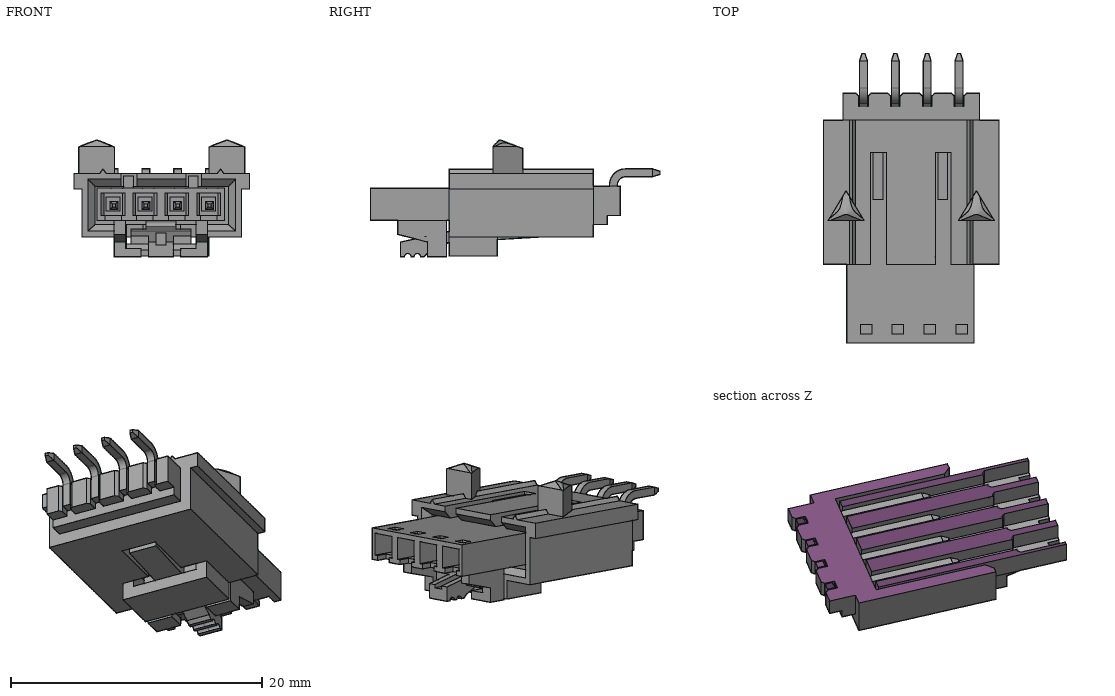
import cadquery as cq
import math


PITCH = 2.54
PIN_COUNT = 4
PIN_X = [PITCH * (i - (PIN_COUNT - 1) / 2) for i in range(PIN_COUNT)]
PIN_SIZE = 0.65
PIN_Z = 4.08
PIN_FRONT_Y = 2.3
TAIL_Z = 6.68
TAIL_END_Y = 16.78
LEG_Y = 13.07
BEND_INNER = 0.65
POINT_LENGTH = 0.6
POINT_SIZE = 0.25

BODY_LENGTH = 11.48
BODY_HALF_WIDTH = 6.36
BODY_BOTTOM = 1.57
BODY_TOP = 6.64
FLANGE_HALF_WIDTH = 6.98
FLANGE_BOTTOM = 5.4

CAVITY_HALF_WIDTH = 5.3
CAVITY_BOTTOM = 2.55
CAVITY_TOP = 5.6
CAVITY_DEPTH = 9.68
MOUTH_HALF_WIDTH = 5.88
MOUTH_BOTTOM = 2.05
MOUTH_TOP = 6.18
MOUTH_DEPTH = 0.58

RIDGE_X = 4.68
RIDGE_HALF_WIDTH = 0.25
RIDGE_HEIGHT = 0.35

KEYWAY_X = (-2.6, 2.54)
KEYWAY_WIDTH = 1.25
KEYWAY_LENGTH = 8.9

REAR_HALF_WIDTH = 5.45
REAR_TOP = 5.62
REAR_STEP_Y = 12.59
REAR_STEP_BOTTOM = 2.55
REAR_END_Y = 13.62
OVERHANG_BOTTOM = 3.27
PIN_SLOT_WIDTH = 0.74
LEAD_IN_WIDTH = 1.22
LEAD_IN_DEPTH = 0.23

ARCH_HALF_WIDTH = 3.75
ARCH_INNER_HALF_WIDTH = 2.81
ARCH_LENGTH = 3.83
ARCH_BOTTOM = 0.05
ARCH_FLOOR = 1.04
ARCH_BEVEL = 0.48
ARM_SLOT_HALF_WIDTH = 1.48
ARM_SLOT_END_Y = 8.3

POST_X = 5.19
POST_HALF_WIDTH = 1.43
POST_FRONT_Y = 3.48
POST_BACK_Y = 5.85
POST_PEAK_Y = 4.05
POST_PEAK_Z = 9.31
POST_SLOPE = 0.38
POST_FACET_Z = 8.78
POST_FACET_ANGLE = 45.0

PLUG_X = -0.07
PLUG_HALF_WIDTH = 5.07
PLUG_FRONT_Y = -6.27
PLUG_BACK_Y = 9.45
PLUG_BOTTOM = 2.9
PLUG_TOP = 5.46

POCKET_BOTTOM = 3.3
POCKET_TOP = 5.07
POCKET_MOUTH_WIDTH = 1.9
POCKET_INNER_WIDTH = 1.48
POCKET_DEPTH = 3.92
CONTACT_HOLE = 1.1
CONTACT_HOLE_Z = 4.2
WIRE_SLOT_WIDTH = 1.31
WIRE_SLOT_DEPTH = 0.92
RECESS_OFFSET = 0.28
RECESS_WIDTH = 0.92
RECESS_LENGTH = 0.78
RECESS_DEPTH = 0.18
RECESS_Y = -5.16

KEY_X = 2.58
KEY_WIDTH = 0.78
KEY_TOP = 6.43
KEY_FRONT_Y = 5.15

GUARD_OUTER = 3.7
GUARD_INNER = 2.81
FOOT_INNER = 1.57
GUARD_BACK_Y = -0.2
GUARD_FACE_Y = -1.73
GUARD_FRONT_Y = -4.1
GUARD_FACE_TOP = 1.18
GUARD_FRONT_BOTTOM = 1.77
FOOT_TOP = 0.67

ARM_HALF_WIDTH = 1.2
ARM_TOP = 2.03
ARM_BOTTOM = 1.13
ARM_RISE = 0.06
ARM_ROOT_Y = 6.57
BAR_HALF_WIDTH = 2.4
BAR_BACK_Y = 2.93
LEVER_HALF_WIDTH = 1.0
LEVER_FRONT_Y = -3.9
LEVER_FRONT_TOP = 1.18
LEVER_SLOT_WIDTH = 0.78
LEVER_SLOT_FLOOR = 0.92
LEVER_SLOT_TOP = 1.9
GRIP_RADIUS = 0.25
GRIP_PITCH = 0.75
GRIP_FIRST_Y = -2.54
GRIP_COUNT = 2
GRIP_BEVEL = 0.28


def block(x0, x1, y0, y1, z0, z1):
    """Box between opposite corners."""
    return cq.Workplane("XY").box(x1 - x0, y1 - y0, z1 - z0, centered=False).translate((x0, y0, z0))


def mirrored_block(half_width, y0, y1, z0, z1, x=0):
    """Box symmetric about the given X."""
    return block(x - half_width, x + half_width, y0, y1, z0, z1)


def side_profile(points, x0, x1):
    """Outline given as (Y, Z) points, extruded from x0 to x1."""
    return cq.Workplane("YZ").polyline(points).close().extrude(x1 - x0).translate((x0, 0, 0))


def plan_profile(points, z0, z1):
    """Outline given as (X, Y) points, extruded from z0 to z1."""
    return cq.Workplane("XY").polyline(points).close().extrude(z1 - z0).translate((0, 0, z0))


def pin_point(y, z, direction):
    """Four-sided point with its base at y, narrowing along the given Y direction."""
    return (
        cq.Workplane("XZ", origin=(0, y, z))
        .rect(PIN_SIZE, PIN_SIZE)
        .workplane(offset=-direction * POINT_LENGTH)
        .rect(POINT_SIZE, POINT_SIZE)
        .loft(combine=True)
    )


def make_pin(x):
    half = PIN_SIZE / 2
    bend_outer = BEND_INNER + PIN_SIZE
    bend_y = LEG_Y - half + bend_outer
    bend_z = TAIL_Z + half - bend_outer
    diagonal = math.sqrt(0.5)
    pin = (
        cq.Workplane("YZ")
        .moveTo(PIN_FRONT_Y + POINT_LENGTH, PIN_Z - half)
        .lineTo(LEG_Y + half, PIN_Z - half)
        .lineTo(LEG_Y + half, bend_z)
        .threePointArc(
            (bend_y - BEND_INNER * diagonal, bend_z + BEND_INNER * diagonal),
            (bend_y, bend_z + BEND_INNER),
        )
        .lineTo(TAIL_END_Y - POINT_LENGTH, TAIL_Z - half)
        .lineTo(TAIL_END_Y - POINT_LENGTH, TAIL_Z + half)
        .lineTo(bend_y, TAIL_Z + half)
        .threePointArc(
            (bend_y - bend_outer * diagonal, bend_z + bend_outer * diagonal),
            (LEG_Y - half, bend_z),
        )
        .lineTo(LEG_Y - half, PIN_Z + half)
        .lineTo(PIN_FRONT_Y + POINT_LENGTH, PIN_Z + half)
        .close()
        .extrude(half, both=True)
    )
    pin = pin.union(pin_point(TAIL_END_Y - POINT_LENGTH, TAIL_Z, 1))
    pin = pin.union(pin_point(PIN_FRONT_Y + POINT_LENGTH, PIN_Z, -1))
    return pin.translate((x, 0, 0))


def housing_shell():
    """Main body with side flanges, the stepped rear wall and the arch under the mouth."""
    shell = mirrored_block(BODY_HALF_WIDTH, 0, BODY_LENGTH, BODY_BOTTOM, BODY_TOP)
    flange = mirrored_block(FLANGE_HALF_WIDTH, 0, BODY_LENGTH, FLANGE_BOTTOM, BODY_TOP)
    step = mirrored_block(REAR_HALF_WIDTH, BODY_LENGTH, REAR_STEP_Y, REAR_STEP_BOTTOM, REAR_TOP)
    overhang = mirrored_block(REAR_HALF_WIDTH, REAR_STEP_Y, REAR_END_Y, OVERHANG_BOTTOM, REAR_TOP)
    arch = mirrored_block(ARCH_HALF_WIDTH, 0, ARCH_LENGTH, ARCH_BOTTOM, BODY_BOTTOM)
    return shell.union(flange).union(step).union(overhang).union(arch)


def ridges():
    """Triangular ridges that run along the top of the body."""
    both = cq.Workplane("XY")
    for x in (-RIDGE_X, RIDGE_X):
        ridge = (
            cq.Workplane("XZ")
            .polyline([
                (x - RIDGE_HALF_WIDTH, BODY_TOP),
                (x + RIDGE_HALF_WIDTH, BODY_TOP),
                (x, BODY_TOP + RIDGE_HEIGHT),
            ])
            .close()
            .extrude(-BODY_LENGTH)
        )
        both = both.add(ridge)
    return both.combine()


def housing_cavity():
    """Plug cavity with a flared mouth."""
    cavity = mirrored_block(CAVITY_HALF_WIDTH, 0, CAVITY_DEPTH, CAVITY_BOTTOM, CAVITY_TOP)
    mouth = (
        cq.Workplane("XZ", origin=(0, 0, (MOUTH_TOP + MOUTH_BOTTOM) / 2))
        .rect(2 * MOUTH_HALF_WIDTH, MOUTH_TOP - MOUTH_BOTTOM)
        .workplane(offset=-MOUTH_DEPTH)
        .center(0, (CAVITY_TOP + CAVITY_BOTTOM - MOUTH_TOP - MOUTH_BOTTOM) / 2)
        .rect(2 * CAVITY_HALF_WIDTH, CAVITY_TOP - CAVITY_BOTTOM)
        .loft(combine=True)
    )
    return cavity.union(mouth)


def keyways():
    """Slots through the roof for the keys of the plug."""
    both = cq.Workplane("XY")
    for x in KEYWAY_X:
        both = both.add(
            mirrored_block(KEYWAY_WIDTH / 2, 0, KEYWAY_LENGTH, CAVITY_BOTTOM, BODY_TOP + RIDGE_HEIGHT, x)
        )
    return both.combine()


def latch_opening():
    """Passage for the latch: a bevelled opening in the arch and a narrower slot behind it."""
    opening = side_profile(
        [
            (0, ARCH_FLOOR - ARCH_BEVEL),
            (ARCH_BEVEL, ARCH_FLOOR),
            (ARCH_LENGTH, ARCH_FLOOR),
            (ARCH_LENGTH, CAVITY_BOTTOM),
            (0, CAVITY_BOTTOM),
        ],
        -ARCH_INNER_HALF_WIDTH,
        ARCH_INNER_HALF_WIDTH,
    )
    slot = mirrored_block(ARM_SLOT_HALF_WIDTH, 0, ARM_SLOT_END_Y, ARCH_FLOOR, CAVITY_BOTTOM)
    return opening.union(slot)


def pin_passage(x):
    """Square hole through the rear wall and the flared slot around the upright leg."""
    hole = mirrored_block(
        PIN_SIZE / 2, CAVITY_DEPTH, REAR_STEP_Y, PIN_Z - PIN_SIZE / 2, PIN_Z + PIN_SIZE / 2, x
    )
    slot = plan_profile(
        [
            (x - PIN_SLOT_WIDTH / 2, REAR_STEP_Y),
            (x + PIN_SLOT_WIDTH / 2, REAR_STEP_Y),
            (x + PIN_SLOT_WIDTH / 2, REAR_END_Y - LEAD_IN_DEPTH),
            (x + LEAD_IN_WIDTH / 2, REAR_END_Y),
            (x - LEAD_IN_WIDTH / 2, REAR_END_Y),
            (x - PIN_SLOT_WIDTH / 2, REAR_END_Y - LEAD_IN_DEPTH),
        ],
        OVERHANG_BOTTOM,
        REAR_TOP,
    )
    return hole.union(slot)


def locating_post(x):
    """Triangular post with three flat facets on top, rounded over by a cone."""
    corners = [
        (x - POST_HALF_WIDTH, POST_FRONT_Y),
        (x + POST_HALF_WIDTH, POST_FRONT_Y),
        (x, POST_BACK_Y),
    ]
    facets = (
        cq.Workplane("XY", origin=(0, 0, POST_FACET_Z))
        .polyline(corners)
        .close()
        .extrude(POST_PEAK_Z - POST_FACET_Z, taper=POST_FACET_ANGLE)
    )
    height = POST_PEAK_Z - BODY_TOP
    cone = cq.Workplane(
        cq.Solid.makeCone(height / POST_SLOPE, 0, height, pnt=cq.Vector(x, POST_PEAK_Y, BODY_TOP))
    )
    return plan_profile(corners, BODY_TOP, POST_FACET_Z).union(facets).intersect(cone)


def make_housing():
    housing = housing_shell().union(ridges())
    housing = housing.cut(housing_cavity()).cut(keyways()).cut(latch_opening())
    for x in PIN_X:
        housing = housing.cut(pin_passage(x))
    for x in (-POST_X, POST_X):
        housing = housing.union(locating_post(x))
    return housing


def contact_chamber(x):
    """Pocket with a tapered inner end, contact hole, wire slot below and shallow recess above."""
    taper_length = (POCKET_MOUTH_WIDTH - POCKET_INNER_WIDTH) / 2
    pocket_end = PLUG_FRONT_Y + POCKET_DEPTH
    pocket = plan_profile(
        [
            (x - POCKET_MOUTH_WIDTH / 2, PLUG_FRONT_Y),
            (x + POCKET_MOUTH_WIDTH / 2, PLUG_FRONT_Y),
            (x + POCKET_MOUTH_WIDTH / 2, pocket_end - taper_length),
            (x + POCKET_INNER_WIDTH / 2, pocket_end),
            (x - POCKET_INNER_WIDTH / 2, pocket_end),
            (x - POCKET_MOUTH_WIDTH / 2, pocket_end - taper_length),
        ],
        POCKET_BOTTOM,
        POCKET_TOP,
    )
    hole = mirrored_block(
        CONTACT_HOLE / 2,
        pocket_end,
        PLUG_BACK_Y,
        CONTACT_HOLE_Z - CONTACT_HOLE / 2,
        CONTACT_HOLE_Z + CONTACT_HOLE / 2,
        x,
    )
    wire_slot = mirrored_block(
        WIRE_SLOT_WIDTH / 2, PLUG_FRONT_Y, PLUG_FRONT_Y + WIRE_SLOT_DEPTH, PLUG_BOTTOM, POCKET_BOTTOM, x
    )
    recess = mirrored_block(
        RECESS_WIDTH / 2,
        RECESS_Y - RECESS_LENGTH / 2,
        RECESS_Y + RECESS_LENGTH / 2,
        PLUG_TOP - RECESS_DEPTH,
        PLUG_TOP,
        x + RECESS_OFFSET,
    )
    return pocket.union(hole).union(wire_slot).union(recess)


def latch_guard(side):
    """One of the two walls beside the latch, with a foot turned inwards (side is -1 or 1)."""
    wall = side_profile(
        [
            (GUARD_BACK_Y, PLUG_BOTTOM),
            (GUARD_FRONT_Y, PLUG_BOTTOM),
            (GUARD_FRONT_Y, GUARD_FRONT_BOTTOM),
            (GUARD_FACE_Y, GUARD_FACE_TOP),
            (GUARD_FACE_Y, 0),
            (GUARD_BACK_Y, 0),
        ],
        GUARD_INNER,
        GUARD_OUTER,
    )
    foot = block(FOOT_INNER, GUARD_INNER, GUARD_FACE_Y, GUARD_BACK_Y, 0, FOOT_TOP)
    guard = wall.union(foot)
    return guard if side > 0 else guard.mirror("YZ")


def arm_top(y):
    return ARM_TOP + ARM_RISE * y


def arm_bottom(y):
    return ARM_BOTTOM + ARM_RISE * y


def lever_top(y):
    return ARM_TOP + (ARM_TOP - LEVER_FRONT_TOP) * y / -LEVER_FRONT_Y


def latch_arm():
    """Cantilever arm that hangs from the plug; the gap above it ends in a round."""
    gap_top = PLUG_BOTTOM
    gap_bottom = arm_top(ARM_ROOT_Y)
    gap_radius = (gap_top - gap_bottom) / 2
    root_end = ARM_ROOT_Y + gap_radius + ARM_TOP - ARM_BOTTOM
    return (
        cq.Workplane("YZ")
        .moveTo(0, ARM_BOTTOM)
        .lineTo(root_end, arm_bottom(root_end))
        .lineTo(root_end, PLUG_BOTTOM)
        .lineTo(ARM_ROOT_Y, gap_top)
        .threePointArc((ARM_ROOT_Y + gap_radius, (gap_top + gap_bottom) / 2), (ARM_ROOT_Y, gap_bottom))
        .lineTo(0, ARM_TOP)
        .close()
        .extrude(ARM_HALF_WIDTH, both=True)
    )


def latch_bar():
    """Wide middle of the latch."""
    return side_profile(
        [
            (GUARD_FACE_Y, arm_bottom(GUARD_FACE_Y)),
            (BAR_BACK_Y, arm_bottom(BAR_BACK_Y)),
            (BAR_BACK_Y, arm_top(BAR_BACK_Y)),
            (0, ARM_TOP),
            (GUARD_FACE_Y, lever_top(GUARD_FACE_Y)),
        ],
        -BAR_HALF_WIDTH,
        BAR_HALF_WIDTH,
    )


def latch_lever():
    """Thumb lever, bevelled at the back and grooved underneath for grip."""
    lever = side_profile(
        [
            (0, ARM_BOTTOM),
            (0, ARM_TOP),
            (LEVER_FRONT_Y, LEVER_FRONT_TOP),
            (LEVER_FRONT_Y, 0),
            (GUARD_FACE_Y - GRIP_BEVEL, 0),
            (GUARD_FACE_Y, GRIP_BEVEL),
        ],
        -LEVER_HALF_WIDTH,
        LEVER_HALF_WIDTH,
    )
    for i in range(GRIP_COUNT):
        groove = (
            cq.Workplane("YZ")
            .center(GRIP_FIRST_Y - i * GRIP_PITCH, 0)
            .circle(GRIP_RADIUS)
            .extrude(LEVER_HALF_WIDTH, both=True)
        )
        lever = lever.cut(groove)
    return lever


def lever_slot():
    slot_back = LEVER_FRONT_Y * (ARM_TOP - LEVER_SLOT_TOP) / (ARM_TOP - LEVER_FRONT_TOP)
    return mirrored_block(LEVER_SLOT_WIDTH / 2, LEVER_FRONT_Y, slot_back, LEVER_SLOT_FLOOR, ARM_TOP)


def make_plug():
    plug = mirrored_block(PLUG_HALF_WIDTH, PLUG_FRONT_Y, PLUG_BACK_Y, PLUG_BOTTOM, PLUG_TOP)
    for x in PIN_X:
        plug = plug.cut(contact_chamber(x))
    for x in (-KEY_X, KEY_X):
        plug = plug.union(mirrored_block(KEY_WIDTH / 2, KEY_FRONT_Y, KEYWAY_LENGTH, PLUG_TOP, KEY_TOP, x))
    for side in (-1, 1):
        plug = plug.union(latch_guard(side))
    latch = latch_arm().union(latch_bar()).union(latch_lever()).cut(lever_slot())
    return plug.union(latch).translate((PLUG_X, 0, 0))


housing = make_housing()
plug = make_plug()
pins = [make_pin(x) for x in PIN_X]

result = cq.Compound.makeCompound([housing.val(), plug.val(), *[pin.val() for pin in pins]])